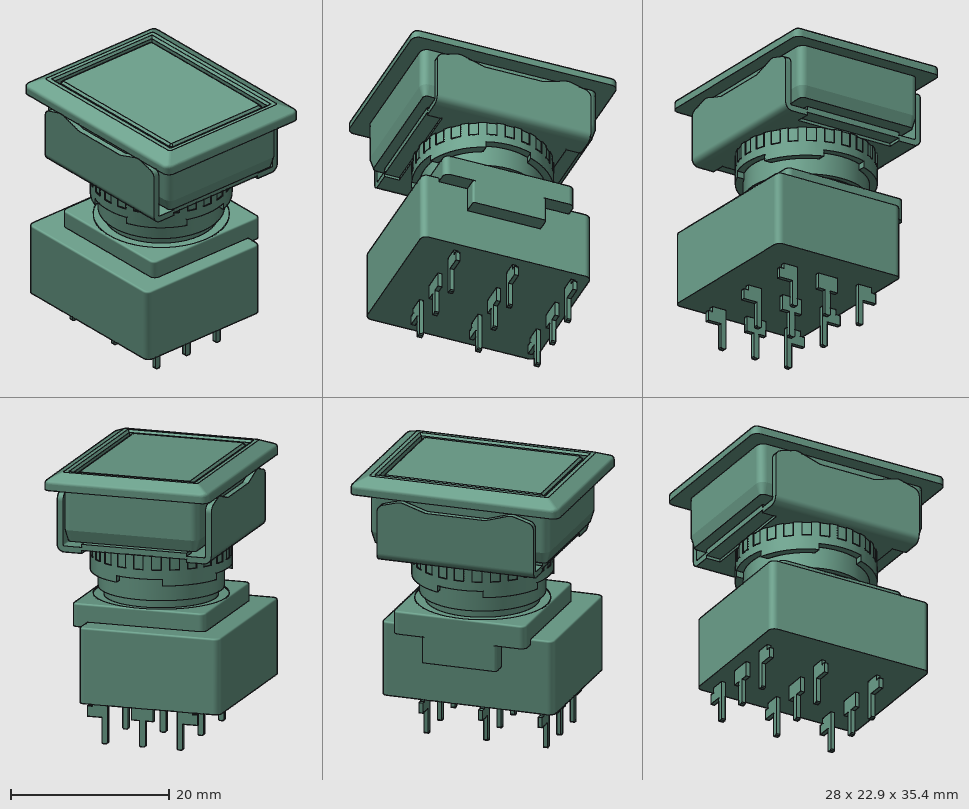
import cadquery as cq

BEZEL_LENGTH = 28.0
BEZEL_WIDTH = 22.0
BEZEL_TOP = 2.05
BEZEL_BEVEL_RUN = 2.0
BEZEL_BEVEL_DROP = 0.97
BEZEL_CORNER_RADIUS = 1.0
BEZEL_BEVEL_CORNER_RADIUS = 0.8
BEZEL_RIM_RADIUS = 0.45

POCKET_LENGTH = 22.3
POCKET_WIDTH = 16.2
POCKET_DEPTH = 1.0
POCKET_CHAMFER = 0.3
LENS_GAP = 0.4
LENS_LENGTH = POCKET_LENGTH - 2 * LENS_GAP
LENS_WIDTH = POCKET_WIDTH - 2 * LENS_GAP
LENS_SINK = 0.2
LENS_TOP = BEZEL_TOP - LENS_SINK
LENS_CHAMFER = 0.3

CASE_LENGTH = 24.0
CASE_WIDTH = 18.0
CASE_BOTTOM = -7.0
CASE_CORNER_RADIUS = 1.0
CASE_TAPER_RUN = 0.45
CASE_TAPER_HEIGHT = 1.5

NECK_DIAMETER = 16.0
NECK_SHOULDER = -14.8
WAIST_DIAMETER = 14.5

COLLAR_SIZE = 17.8
COLLAR_TOP = -15.75
COLLAR_BOTTOM = -18.75
COLLAR_CORNER_RADIUS = 0.8
COLLAR_RECESS_DIAMETER = 17.2
COLLAR_RECESS_DEPTH = 0.15

BLOCK_LEFT = -12.0
BLOCK_LENGTH = 23.13
BLOCK_FRONT = -11.9
BLOCK_WIDTH = 18.85
BLOCK_TOP = -18.05
BLOCK_BOTTOM = -27.9
BLOCK_CORNER_RADIUS = 0.85
TOP_EDGE_RADIUS = 0.25

LATCH_LENGTH = 10.0
LATCH_BOTTOM = -22.2
LATCH_EDGE_RADIUS = 0.3
LATCH_REACH = 3.0

TERMINAL_THICKNESS = 0.55
TERMINAL_PITCH = 8.0
TERMINAL_MIDDLE_X = -1.97
TERMINAL_MIDDLE_Y = -1.0
TERMINAL_TIP = -33.35
TERMINAL_TIP_CHAMFER = 0.15
SHOULDER_TOP = -28.6
SHOULDER_BOTTOM = -29.95
MIDDLE_SHOULDER_WIDTH = 2.9
MIDDLE_BLADE_WIDTH = 0.8
OUTER_BLADE_START = 4.65
OUTER_BLADE_END = 5.4
OUTER_ROOT_END = 6.7
OUTER_SHOULDER_END = 7.35

CLIP_LENGTH = 21.0
CLIP_WIDTH = 20.6
CLIP_THICKNESS = 0.8
CLIP_BOTTOM = -8.75
CLIP_BEND_RADIUS = 1.0
CLIP_PEAK_X = 7.42
CLIP_PEAK_Z = -0.5
CLIP_VALLEY_X = 4.0
CLIP_VALLEY_Z = -1.57
CLIP_SHOULDER_Z = -1.4
CLIP_SHOULDER_RADIUS = 1.0
CLIP_PEAK_RADIUS = 1.5
CLIP_TAB_WIDTH = 14.0
CLIP_TAB_LENGTH = 2.0
CLIP_TAB_RISE = 0.4

NUT_DIAMETER = 17.95
NUT_SLOT_BOTTOM = -10.6
NUT_SLOT_COUNT = 24
NUT_SLOT_WIDTH = 1.25
NUT_SLOT_DEPTH = 0.15
NUT_NOTCH_TOP = -11.8
NUT_BOTTOM = -12.65
NUT_NOTCH_WIDTH = 6.1


def block(length, width, bottom, top):
    """A box centred on the Z axis, from one height to another."""
    return cq.Workplane("XY").workplane(offset=bottom).rect(length, width).extrude(top - bottom)


def cylinder(diameter, bottom, top):
    """A cylinder on the Z axis, from one height to another."""
    return cq.Workplane("XY").workplane(offset=bottom).circle(diameter / 2).extrude(top - bottom)


def make_bezel():
    """Flange with a bevelled top. The bevel is the tip of a taller pyramid with rounded corners."""
    bevel_edge = BEZEL_TOP - BEZEL_BEVEL_DROP
    top_length = BEZEL_LENGTH - 2 * BEZEL_BEVEL_RUN
    top_width = BEZEL_WIDTH - 2 * BEZEL_BEVEL_RUN
    pyramid_height = BEZEL_TOP
    pyramid_run = pyramid_height * BEZEL_BEVEL_RUN / BEZEL_BEVEL_DROP
    pyramid = (
        cq.Workplane("XY")
        .rect(top_length + 2 * pyramid_run, top_width + 2 * pyramid_run)
        .workplane(offset=pyramid_height)
        .rect(top_length, top_width)
        .loft(ruled=True)
        .edges("not(#Z or |X or |Y)")
        .fillet(BEZEL_BEVEL_CORNER_RADIUS)
    )
    plate = block(BEZEL_LENGTH, BEZEL_WIDTH, 0, BEZEL_TOP).edges("|Z").fillet(BEZEL_CORNER_RADIUS)
    rim = cq.selectors.BoxSelector(
        (-BEZEL_LENGTH, -BEZEL_WIDTH, bevel_edge - BEZEL_RIM_RADIUS / 2),
        (BEZEL_LENGTH, BEZEL_WIDTH, bevel_edge + BEZEL_RIM_RADIUS / 2),
    )
    return plate.intersect(pyramid).edges(rim).fillet(BEZEL_RIM_RADIUS)


def make_lens_pocket():
    """The space cut from the bezel for the lens, with a mouth that flares outwards at the top."""
    pocket = block(POCKET_LENGTH, POCKET_WIDTH, BEZEL_TOP - POCKET_DEPTH, BEZEL_TOP)
    mouth = (
        cq.Workplane("XY")
        .workplane(offset=BEZEL_TOP - POCKET_CHAMFER)
        .rect(POCKET_LENGTH, POCKET_WIDTH)
        .workplane(offset=POCKET_CHAMFER)
        .rect(POCKET_LENGTH + 2 * POCKET_CHAMFER, POCKET_WIDTH + 2 * POCKET_CHAMFER)
        .loft(ruled=True)
    )
    return pocket.union(mouth)


def make_case():
    return (
        block(CASE_LENGTH, CASE_WIDTH, CASE_BOTTOM, 0)
        .edges("|Z")
        .fillet(CASE_CORNER_RADIUS)
        .faces("<Z")
        .chamfer(CASE_TAPER_HEIGHT, CASE_TAPER_RUN)
    )


def make_collar():
    collar = (
        block(COLLAR_SIZE, COLLAR_SIZE, COLLAR_BOTTOM, COLLAR_TOP)
        .edges("|Z")
        .fillet(COLLAR_CORNER_RADIUS)
        .faces(">Z")
        .edges()
        .fillet(TOP_EDGE_RADIUS)
    )
    return collar.cut(cylinder(COLLAR_RECESS_DIAMETER, COLLAR_TOP - COLLAR_RECESS_DEPTH, COLLAR_TOP))


def make_terminal_block():
    return (
        block(BLOCK_LENGTH, BLOCK_WIDTH, BLOCK_BOTTOM, BLOCK_TOP)
        .translate((BLOCK_LEFT + BLOCK_LENGTH / 2, BLOCK_FRONT + BLOCK_WIDTH / 2, 0))
        .edges("|Z")
        .fillet(BLOCK_CORNER_RADIUS)
        .faces(">Z")
        .edges()
        .fillet(TOP_EDGE_RADIUS)
    )


def make_latch():
    return (
        block(LATCH_LENGTH, LATCH_REACH, LATCH_BOTTOM, COLLAR_BOTTOM)
        .translate((0, COLLAR_SIZE / 2 - LATCH_REACH / 2, 0))
        .edges("|Z and >Y")
        .fillet(LATCH_EDGE_RADIUS)
    )


def terminal_plate(x, outline):
    """A flat terminal at one X, its outline given as (distance from the middle row, Z) points."""
    points = [(TERMINAL_MIDDLE_Y + y, z) for y, z in outline]
    plate = cq.Workplane("YZ").workplane(offset=x).polyline(points).close()
    plate = plate.extrude(TERMINAL_THICKNESS / 2, both=True)
    return plate.faces("<Z").edges("|X").chamfer(TERMINAL_TIP_CHAMFER)


def make_terminals():
    half_shoulder = MIDDLE_SHOULDER_WIDTH / 2
    half_blade = MIDDLE_BLADE_WIDTH / 2
    middle_outline = [
        (-half_shoulder, BLOCK_BOTTOM),
        (-half_shoulder, SHOULDER_BOTTOM),
        (-half_blade, SHOULDER_BOTTOM),
        (-half_blade, TERMINAL_TIP),
        (half_blade, TERMINAL_TIP),
        (half_blade, SHOULDER_BOTTOM),
        (half_shoulder, SHOULDER_BOTTOM),
        (half_shoulder, BLOCK_BOTTOM),
    ]
    back_outline = [
        (OUTER_BLADE_START, BLOCK_BOTTOM),
        (OUTER_BLADE_START, TERMINAL_TIP),
        (OUTER_BLADE_END, TERMINAL_TIP),
        (OUTER_BLADE_END, SHOULDER_BOTTOM),
        (OUTER_SHOULDER_END, SHOULDER_BOTTOM),
        (OUTER_SHOULDER_END, SHOULDER_TOP),
        (OUTER_ROOT_END, SHOULDER_TOP),
        (OUTER_ROOT_END, BLOCK_BOTTOM),
    ]
    front_outline = [(-y, z) for y, z in back_outline]
    terminals = cq.Workplane("XY")
    for column in (-1, 0, 1):
        x = TERMINAL_MIDDLE_X + column * TERMINAL_PITCH
        for outline in (back_outline, middle_outline, front_outline):
            terminals = terminals.add(terminal_plate(x, outline))
    return terminals


def make_switch_body():
    body = (
        make_bezel()
        .union(make_case())
        .cut(make_lens_pocket())
        .union(cylinder(NECK_DIAMETER, NECK_SHOULDER, CASE_BOTTOM))
        .union(make_collar())
        .union(cylinder(WAIST_DIAMETER, COLLAR_BOTTOM, NECK_SHOULDER))
        .union(make_terminal_block())
        .union(make_latch())
    )
    for terminal in make_terminals().vals():
        body = body.union(cq.Workplane(terminal))
    return body


def make_lens():
    return (
        block(LENS_LENGTH, LENS_WIDTH, BEZEL_TOP - POCKET_DEPTH, LENS_TOP)
        .edges("|Z")
        .chamfer(LENS_CHAMFER)
        .faces(">Z")
        .chamfer(LENS_CHAMFER)
    )


def make_clip_channel():
    """U-shaped strip, open at the top, running along X."""
    height = CLIP_PEAK_Z - CLIP_BOTTOM
    middle_z = CLIP_BOTTOM + height / 2
    outer = cq.Workplane("YZ").center(0, middle_z).rect(CLIP_WIDTH, height)
    outer = outer.extrude(CLIP_LENGTH / 2, both=True).edges("|X and <Z").fillet(CLIP_BEND_RADIUS)
    inner = cq.Workplane("YZ").center(0, middle_z + CLIP_THICKNESS)
    inner = inner.rect(CLIP_WIDTH - 2 * CLIP_THICKNESS, height).extrude(CLIP_LENGTH / 2, both=True)
    inner = inner.edges("|X and <Z").fillet(CLIP_BEND_RADIUS - CLIP_THICKNESS)
    return outer.cut(inner)


def make_clip_outline():
    """Wavy-topped side outline of the clip arms, as a prism along Y."""
    half_length = CLIP_LENGTH / 2
    prism = (
        cq.Workplane("XZ")
        .polyline([
            (-half_length, CLIP_BOTTOM),
            (-half_length, CLIP_SHOULDER_Z),
            (-CLIP_PEAK_X, CLIP_PEAK_Z),
            (-CLIP_VALLEY_X, CLIP_VALLEY_Z),
            (CLIP_VALLEY_X, CLIP_VALLEY_Z),
            (CLIP_PEAK_X, CLIP_PEAK_Z),
            (half_length, CLIP_SHOULDER_Z),
            (half_length, CLIP_BOTTOM),
        ])
        .close()
        .extrude(CLIP_WIDTH, both=True)
    )
    for side in (-1, 1):
        shoulder = cq.selectors.NearestToPointSelector((side * half_length, 0, CLIP_SHOULDER_Z))
        prism = prism.edges("|Y").edges(shoulder).fillet(CLIP_SHOULDER_RADIUS)
        peak = cq.selectors.NearestToPointSelector((side * CLIP_PEAK_X, 0, CLIP_PEAK_Z))
        prism = prism.edges("|Y").edges(peak).fillet(CLIP_PEAK_RADIUS)
    return prism


def make_clip():
    clip = make_clip_channel().intersect(make_clip_outline())
    floor_top = CLIP_BOTTOM + CLIP_THICKNESS
    tab_space = block(CLIP_TAB_LENGTH, CLIP_TAB_WIDTH, CLIP_BOTTOM, floor_top)
    for side in (-1, 1):
        tab_space_at_end = tab_space.translate((side * (CLIP_LENGTH - CLIP_TAB_LENGTH) / 2, 0, 0))
        tab = tab_space_at_end.translate((0, 0, CLIP_TAB_RISE))
        clip = clip.cut(tab_space_at_end).union(tab)
    return clip.cut(cylinder(NECK_DIAMETER, CLIP_BOTTOM, CASE_BOTTOM))


def make_nut():
    nut = cylinder(NUT_DIAMETER, NUT_BOTTOM, CLIP_BOTTOM)
    slot_ring = cylinder(NUT_DIAMETER, NUT_SLOT_BOTTOM, CLIP_BOTTOM)
    slot_ring = slot_ring.cut(cylinder(NUT_DIAMETER - 2 * NUT_SLOT_DEPTH, NUT_SLOT_BOTTOM, CLIP_BOTTOM))
    slot_bar = block(NUT_DIAMETER, NUT_SLOT_WIDTH, NUT_SLOT_BOTTOM, CLIP_BOTTOM)
    for index in range(NUT_SLOT_COUNT // 2):
        angle = index * 360 / NUT_SLOT_COUNT
        nut = nut.cut(slot_bar.rotate((0, 0, 0), (0, 0, 1), angle).intersect(slot_ring))
    notch_bar = block(NUT_DIAMETER, NUT_NOTCH_WIDTH, NUT_BOTTOM, NUT_NOTCH_TOP)
    for angle in (0, 90):
        nut = nut.cut(notch_bar.rotate((0, 0, 0), (0, 0, 1), angle))
    return nut.cut(cylinder(NECK_DIAMETER, NUT_BOTTOM, CLIP_BOTTOM))


switch_body = make_switch_body()
lens = make_lens()
clip = make_clip()
nut = make_nut()

result = cq.Compound.makeCompound([switch_body.val(), lens.val(), clip.val(), nut.val()])